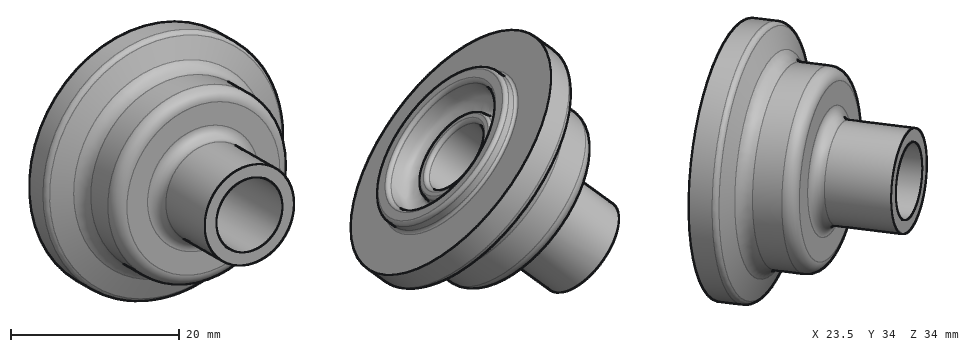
import cadquery as cq
import math

total_length = 23.5
flange_front = 1.75
cone_start = 5.25
body_back = 13.53
hub_front = 2.28
groove_bottom = 3.3

flange_radius = 17.0
body_radius = 25.0 / 2
stub_radius = 12.7 / 2
lip_radius = 22.1 / 2
bore_radius = 9.4 / 2
groove_outer_radius = 8.87
groove_inner_radius = 6.12

cone_angle = 70.0

flange_round = 0.75
cone_fillet = 1.9
body_round = 1.63
stub_fillet = 1.55
lip_round = 0.5
lip_foot_fillet = 0.37
hub_outer_round = 0.37
bore_round = 0.5

cone_length = (flange_radius - body_radius) / math.tan(math.radians(cone_angle))
cone_end = cone_start + cone_length

groove_middle_radius = (groove_outer_radius + groove_inner_radius) / 2
groove_hub_end = hub_front + hub_outer_round
groove_curve = [
    (groove_bottom, groove_middle_radius),
    (lip_round, groove_outer_radius),
]


def make_turned_body():
    """Revolve the half section (axial, radial) about the X axis."""
    section = (
        cq.Workplane("XY")
        .moveTo(hub_front, bore_radius)
        .lineTo(hub_front, groove_inner_radius - hub_outer_round)
        .tangentArcPoint((groove_hub_end, groove_inner_radius), relative=False)
        .spline(groove_curve, tangents=[(1, 0), (-1, 0)], includeCurrent=True)
        .tangentArcPoint((0, groove_outer_radius + lip_round), relative=False)
        .lineTo(0, lip_radius)
        .lineTo(flange_front, lip_radius)
        .lineTo(flange_front, flange_radius)
        .lineTo(cone_start, flange_radius)
        .lineTo(cone_end, body_radius)
        .lineTo(body_back, body_radius)
        .lineTo(body_back, stub_radius)
        .lineTo(total_length, stub_radius)
        .lineTo(total_length, bore_radius)
        .close()
    )
    return section.revolve(360, (0, 0, 0), (1, 0, 0))


def round_edge(part, axial, radius, fillet_radius):
    """Fillet the circular edge found at the given axial station and radius."""
    margin = 0.05
    reach = radius + margin
    corner = cq.selectors.BoxSelector(
        (axial - margin, -reach, -reach), (axial + margin, reach, reach), boundingbox=True
    )
    inner_reach = radius - margin
    smaller = cq.selectors.BoxSelector(
        (axial - margin, -inner_reach, -inner_reach),
        (axial + margin, inner_reach, inner_reach),
        boundingbox=True,
    )
    return part.edges(corner - smaller).fillet(fillet_radius)


edge_rounds = [
    (cone_start, flange_radius, flange_round),
    (cone_end, body_radius, cone_fillet),
    (body_back, body_radius, body_round),
    (body_back, stub_radius, stub_fillet),
    (0, lip_radius, lip_round),
    (flange_front, lip_radius, lip_foot_fillet),
    (hub_front, bore_radius, bore_round),
]

result = make_turned_body()
for axial, radius, fillet_radius in edge_rounds:
    result = round_edge(result, axial, radius, fillet_radius)